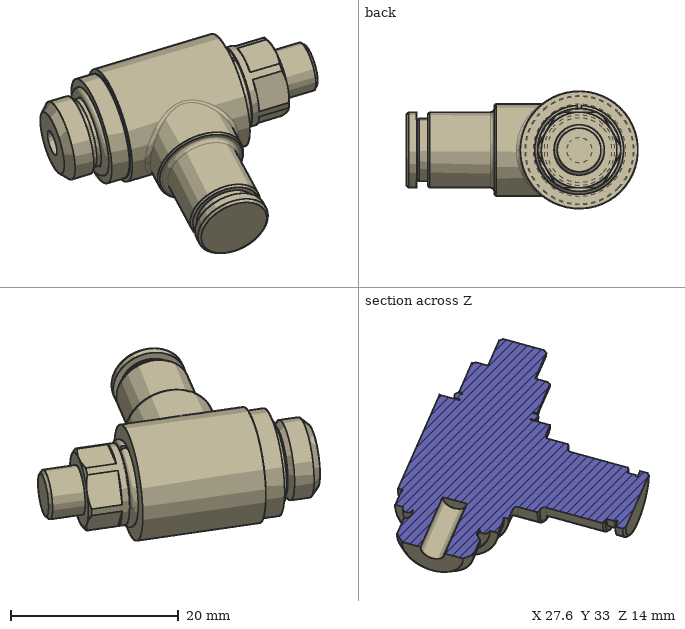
import cadquery as cq
import math


BODY_RADIUS = 7.0
BODY_TOP = 7.53
BODY_BOTTOM = -7.57

FLANGE_RADIUS = 6.5
FLANGE_BOTTOM = -10.0
FLANGE_GAP = 0.15
FLANGE_GAP_DEPTH = 0.1
SEAL_RADIUS = 5.5
NECK_RADIUS = 4.2
NECK_BOTTOM = -11.0
THREAD_RADIUS = 4.85
THREAD_CHAMFER = 1.0
END_BOTTOM = -15.04
BORE_RADIUS = 1.5
BORE_DEPTH = 8.0

NUT_RADIUS = 4.95
NUT_BOTTOM = 8.65
NUT_SEAT_RADIUS = 4.5
HEX_ACROSS_FLATS = 9.0
HEX_BOTTOM = 9.55
HEX_TOP = 13.6
HEX_CHAMFER_HEIGHT = 0.3
SPINDLE_RADIUS = 3.0
SPINDLE_TOP = 18.0
SPINDLE_CHAMFER = 0.4

RING_WIRE_RADIUS = 0.5
RING_OUTER_RADIUS = 5.3
RING_GAP = 0.5
RING_CENTER_Y = 8.07

BRANCH_RADIUS = 5.5
BRANCH_END = 10.1
BRANCH_CHAMFER = 0.2
BRANCH_FILLET = 0.5
SLEEVE_RADIUS = 4.5
SLEEVE_ROOT_FILLET = 0.5
SLEEVE_END = 18.05
SLEEVE_CHAMFER = 0.25
GROOVE_RADIUS = 3.75
GROOVE_NOTCH = 0.2
COLLAR_START = 19.35
COLLAR_END = 20.6
COLLAR_CHAMFER = 0.3


def around_y(outline):
    """Revolve a closed outline, drawn as (radius, y), about the main axis."""
    return outline.close().revolve(360, (0, 0, 0), (0, 1, 0))


def around_x(outline):
    """Revolve a closed outline, drawn as (x, radius), about the branch axis."""
    return outline.close().revolve(360, (0, 0, 0), (1, 0, 0))


def cylinder_y(radius, y_start, y_end):
    """Cylinder on the main axis between two Y positions."""
    return cq.Workplane("XZ", origin=(0, y_start, 0)).circle(radius).extrude(y_start - y_end)


def make_housing():
    """Barrel and branch stub, blended together where they meet."""
    margin = BRANCH_CHAMFER / 2
    barrel = cylinder_y(BODY_RADIUS, BODY_BOTTOM, BODY_TOP)
    stub = cq.Workplane("YZ").circle(BRANCH_RADIUS).extrude(BRANCH_END)
    stub = stub.faces(">X").chamfer(BRANCH_CHAMFER)
    joint = cq.selectors.BoxSelector(
        (0, -BRANCH_RADIUS - margin, -BRANCH_RADIUS - margin),
        (BODY_RADIUS + margin, BRANCH_RADIUS + margin, BRANCH_RADIUS + margin),
        boundingbox=True,
    )
    return barrel.union(stub).edges(joint).fillet(BRANCH_FILLET)


def make_branch_sleeve():
    """Sleeve with a root fillet, a groove with a V notch, and the release collar."""
    root_radius = SLEEVE_RADIUS + SLEEVE_ROOT_FILLET
    root_end = BRANCH_END + SLEEVE_ROOT_FILLET
    arc_offset = SLEEVE_ROOT_FILLET * (1 - math.sqrt(0.5))
    notch_center = COLLAR_START - GROOVE_NOTCH / 2
    outline = (
        cq.Workplane("XY")
        .moveTo(0, 0)
        .lineTo(0, SLEEVE_RADIUS)
        .lineTo(BRANCH_END, SLEEVE_RADIUS)
        .lineTo(BRANCH_END, root_radius)
        .threePointArc((BRANCH_END + arc_offset, SLEEVE_RADIUS + arc_offset), (root_end, SLEEVE_RADIUS))
        .lineTo(SLEEVE_END - SLEEVE_CHAMFER, SLEEVE_RADIUS)
        .lineTo(SLEEVE_END, SLEEVE_RADIUS - SLEEVE_CHAMFER)
        .lineTo(SLEEVE_END, GROOVE_RADIUS)
        .lineTo(notch_center - GROOVE_NOTCH, GROOVE_RADIUS)
        .lineTo(notch_center, GROOVE_RADIUS - GROOVE_NOTCH)
        .lineTo(COLLAR_START, GROOVE_RADIUS - GROOVE_NOTCH / 2)
        .lineTo(COLLAR_START, SLEEVE_RADIUS)
        .lineTo(COLLAR_END - COLLAR_CHAMFER, SLEEVE_RADIUS)
        .lineTo(COLLAR_END, SLEEVE_RADIUS - COLLAR_CHAMFER)
        .lineTo(COLLAR_END, 0)
    )
    return around_x(outline)


def make_threaded_end():
    """Flange, rounded seal, neck and thread body with a chamfered end."""
    seal_center = (SEAL_RADIUS + NECK_RADIUS) / 2
    seal_bottom = FLANGE_BOTTOM - (SEAL_RADIUS - NECK_RADIUS) / 2
    thread_top = NECK_BOTTOM - (THREAD_RADIUS - NECK_RADIUS)
    gap_bottom = BODY_BOTTOM - FLANGE_GAP
    outline = (
        cq.Workplane("XY")
        .moveTo(0, 0)
        .lineTo(FLANGE_RADIUS - FLANGE_GAP_DEPTH, 0)
        .lineTo(FLANGE_RADIUS - FLANGE_GAP_DEPTH, gap_bottom)
        .lineTo(FLANGE_RADIUS, gap_bottom)
        .lineTo(FLANGE_RADIUS, FLANGE_BOTTOM)
        .lineTo(SEAL_RADIUS, FLANGE_BOTTOM)
        .threePointArc((seal_center, seal_bottom), (NECK_RADIUS, FLANGE_BOTTOM))
        .lineTo(NECK_RADIUS, NECK_BOTTOM)
        .lineTo(THREAD_RADIUS, thread_top)
        .lineTo(THREAD_RADIUS, END_BOTTOM + THREAD_CHAMFER)
        .lineTo(THREAD_RADIUS - THREAD_CHAMFER, END_BOTTOM)
        .lineTo(0, END_BOTTOM)
    )
    return around_y(outline)


def make_nut():
    """Round nut body with six flats milled on its chamfered upper part."""
    outline = (
        cq.Workplane("XY")
        .moveTo(0, 0)
        .lineTo(NUT_SEAT_RADIUS, 0)
        .lineTo(NUT_SEAT_RADIUS, NUT_BOTTOM)
        .lineTo(NUT_RADIUS, NUT_BOTTOM)
        .lineTo(NUT_RADIUS, HEX_TOP - HEX_CHAMFER_HEIGHT)
        .lineTo(HEX_ACROSS_FLATS / 2, HEX_TOP)
        .lineTo(0, HEX_TOP)
    )
    nut = around_y(outline)
    corner_diameter = HEX_ACROSS_FLATS / math.cos(math.pi / 6)
    surround = (
        cq.Workplane("XZ", origin=(0, HEX_BOTTOM, 0))
        .circle(2 * NUT_RADIUS)
        .polygon(6, corner_diameter)
        .extrude(HEX_BOTTOM - HEX_TOP)
    )
    return nut.cut(surround)


def make_spindle():
    """Adjusting spindle standing out of the nut, chamfered at its end."""
    return cylinder_y(SPINDLE_RADIUS, 0, SPINDLE_TOP).faces(">Y").chamfer(SPINDLE_CHAMFER)


def make_retaining_ring():
    """Round-wire ring under the nut, split on its +Z side."""
    wire_center = RING_OUTER_RADIUS - RING_WIRE_RADIUS
    ring = (
        cq.Workplane("XY")
        .center(-wire_center, RING_CENTER_Y)
        .circle(RING_WIRE_RADIUS)
        .revolve(360, (wire_center, 0, 0), (wire_center, 1, 0))
    )
    split = cq.Workplane("XY", origin=(0, RING_CENTER_Y, 0)).rect(RING_GAP, 4 * RING_WIRE_RADIUS)
    return ring.cut(split.extrude(2 * RING_OUTER_RADIUS))


def make_bore():
    """Blind bore into the threaded end."""
    return cylinder_y(BORE_RADIUS, END_BOTTOM, END_BOTTOM + BORE_DEPTH)


result = (
    make_housing()
    .union(make_branch_sleeve())
    .union(make_threaded_end())
    .union(make_nut())
    .union(make_spindle())
    .union(make_retaining_ring())
    .cut(make_bore())
)